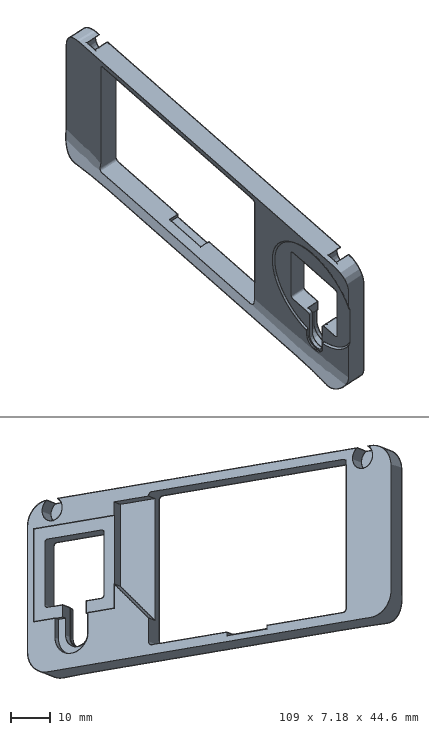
import cadquery as cq
import math


LENGTH = 109.0
HEIGHT = 44.6
CORNER_RADIUS = 6.0
PLATE_DEPTH = 5.0
FRONT_Y = -PLATE_DEPTH
HALF_LENGTH = LENGTH / 2
TOP_Z = HEIGHT / 2
BOTTOM_Z = -TOP_Z

FLARE_RADIUS = 11.0
TOP_FLARE_WIDTH = 3.1
BOTTOM_FLARE_WIDTH = 5.75
FLARE_REACH = 8.0
STRAIGHT_HALF_LENGTH = 36.0
BEND_RADIUS = 94.0
BEND_ANGLE = math.radians(7.15)
FLARE_END_RUN = 12.0

WINDOW_LEFT = -41.1
WINDOW_RIGHT = 18.2
WINDOW_TOP = 19.9
WINDOW_BOTTOM = -19.8
WINDOW_CORNER_RADIUS = 1.0

SILL_NOTCH_LENGTH = 12.0
SILL_NOTCH_CENTRE_X = -11.3
SILL_NOTCH_DEPTH = 2.7
SILL_NOTCH_DROP = 1.0

CAMERA_X = 40.6
CAMERA_Z = 3.4
CAMERA_SIZE = 17.7
CAMERA_CORNER_RADIUS = 0.8
CAMERA_WALL = 3.2
CAMERA_SEAT_DEPTH = 0.3
SLOT_X = 41.3
SLOT_WIDTH = 4.9
SLOT_BOTTOM = -16.0
SLOT_LIP = 1.0
BACK_SLOT_WIDTH = 7.0
BACK_SLOT_BOTTOM = -16.5
RECESS_RADIUS = 15.6
RECESS_DEPTH = 0.45
RECESS_SLOT_MARGIN = 0.6

BOARD_PLATE = 2.1
BOARD_POCKET_START_Z = -12.7
SLOT_PLATE = 3.4
SLOT_POCKET_MARGIN = 2.5

TOP_HOLE_CENTRES_X = (-46.0, 47.1)
TOP_HOLE_RADIUS = 3.0
TOP_HOLE_DEPTH = 4.1
TOP_HOLE_OPENING = 3.1

CAMERA_BOTTOM = CAMERA_Z - CAMERA_SIZE / 2
SLOT_LIP_BACK_Y = FRONT_Y + RECESS_DEPTH + SLOT_LIP


def front_plane(y):
    """Workplane at depth y whose local axes are X and Z and whose extrusions run towards -Y."""
    return cq.Workplane("XZ", origin=(0, y, 0))


def box(left, right, bottom, top, y_back, y_front):
    """Block given by its limits, y_back being the +Y limit."""
    centre = ((left + right) / 2, (bottom + top) / 2)
    return front_plane(y_back).center(*centre).rect(right - left, top - bottom).extrude(y_back - y_front)


def flare_section(x, tangent_z, outward):
    """Section of a concave flare at x: an arc tangent to the front face, closed along the back.

    outward is +1 when the flare runs up from its tangent line and -1 when it runs down.
    """

    def rise(distance):
        return FLARE_RADIUS - math.sqrt(FLARE_RADIUS**2 - distance**2)

    half_reach = FLARE_REACH / 2
    return (
        cq.Workplane("YZ", origin=(x, 0, tangent_z))
        .moveTo(FRONT_Y, 0)
        .threePointArc(
            (FRONT_Y - rise(half_reach), outward * half_reach),
            (FRONT_Y - rise(FLARE_REACH), outward * FLARE_REACH),
        )
        .lineTo(0, outward * FLARE_REACH)
        .lineTo(0, 0)
        .close()
    )


def bottom_flare_half():
    """Right half of the bottom flare, swept along a line, a rising bend and a sloping line."""
    tangent_z = BOTTOM_Z + BOTTOM_FLARE_WIDTH

    def bend_point(angle):
        return (
            STRAIGHT_HALF_LENGTH + BEND_RADIUS * math.sin(angle),
            tangent_z + BEND_RADIUS * (1 - math.cos(angle)),
        )

    bend_end = bend_point(BEND_ANGLE)
    path = (
        front_plane(FRONT_Y)
        .moveTo(0, tangent_z)
        .lineTo(STRAIGHT_HALF_LENGTH, tangent_z)
        .threePointArc(bend_point(BEND_ANGLE / 2), bend_end)
        .lineTo(
            bend_end[0] + FLARE_END_RUN * math.cos(BEND_ANGLE),
            bend_end[1] + FLARE_END_RUN * math.sin(BEND_ANGLE),
        )
    )
    return flare_section(0, tangent_z, -1).sweep(path)


def flared_plate():
    """Rounded plate with the flares along its top and bottom edges."""
    plate = front_plane(0).rect(LENGTH, HEIGHT).extrude(PLATE_DEPTH)
    top_flare = flare_section(-HALF_LENGTH, TOP_Z - TOP_FLARE_WIDTH, 1).extrude(LENGTH)
    right_flare = bottom_flare_half()
    left_flare = right_flare.mirror("YZ")
    outline = (
        front_plane(0)
        .rect(LENGTH, HEIGHT)
        .extrude(PLATE_DEPTH + FLARE_RADIUS)
        .edges("|Y")
        .fillet(CORNER_RADIUS)
    )
    return plate.union(top_flare).union(right_flare).union(left_flare).intersect(outline)


def screen_window():
    """Through cutter for the screen window."""
    cutter = box(WINDOW_LEFT, WINDOW_RIGHT, WINDOW_BOTTOM, WINDOW_TOP, 0, FRONT_Y - FLARE_RADIUS)
    return cutter.edges("|Y").fillet(WINDOW_CORNER_RADIUS)


def sill_notch():
    """Shallow notch in the back edge of the window sill."""
    half_length = SILL_NOTCH_LENGTH / 2
    return box(
        SILL_NOTCH_CENTRE_X - half_length,
        SILL_NOTCH_CENTRE_X + half_length,
        WINDOW_BOTTOM - SILL_NOTCH_DROP,
        WINDOW_BOTTOM + SILL_NOTCH_DROP,
        0,
        -SILL_NOTCH_DEPTH,
    )


def round_ended_slot(centre_x, width, bottom, top, y_back, y_front):
    """Upright slot with a round lower end and a flat top."""
    half_width = width / 2
    return (
        front_plane(y_back)
        .moveTo(centre_x - half_width, top)
        .lineTo(centre_x - half_width, bottom + half_width)
        .threePointArc((centre_x, bottom), (centre_x + half_width, bottom + half_width))
        .lineTo(centre_x + half_width, top)
        .close()
        .extrude(y_back - y_front)
    )


def slot_cutter(margin, top, y_back, y_front):
    """Camera slot widened all round by margin."""
    return round_ended_slot(
        SLOT_X, SLOT_WIDTH + 2 * margin, SLOT_BOTTOM - margin, top, y_back, y_front
    )


def camera_window():
    """Through cutter for the camera window with rounded corners."""
    half_size = CAMERA_SIZE / 2
    window = box(
        CAMERA_X - half_size,
        CAMERA_X + half_size,
        CAMERA_BOTTOM,
        CAMERA_Z + half_size,
        0,
        FRONT_Y - FLARE_RADIUS,
    )
    return window.edges("|Y").fillet(CAMERA_CORNER_RADIUS)


def camera_slot():
    """Through cutter for the slot below the camera window."""
    return slot_cutter(0, CAMERA_Z, 0, FRONT_Y - FLARE_RADIUS)


def slot_mouth():
    """Rounding of the two front corners where the slot runs into the camera window."""
    half_width = SLOT_WIDTH / 2
    radius = CAMERA_CORNER_RADIUS
    corners = box(
        SLOT_X - half_width - radius,
        SLOT_X + half_width + radius,
        CAMERA_BOTTOM - radius,
        CAMERA_BOTTOM,
        SLOT_LIP_BACK_Y,
        FRONT_Y,
    )
    centres = [(SLOT_X + side * (half_width + radius), CAMERA_BOTTOM - radius) for side in (-1, 1)]
    kept = (
        front_plane(SLOT_LIP_BACK_Y)
        .pushPoints(centres)
        .circle(radius)
        .extrude(SLOT_LIP_BACK_Y - FRONT_Y)
    )
    return corners.cut(kept)


def back_slot():
    """Wider slot behind the slot lip, centred on the camera window."""
    return round_ended_slot(
        CAMERA_X, BACK_SLOT_WIDTH, BACK_SLOT_BOTTOM, CAMERA_Z, 0, SLOT_LIP_BACK_Y
    )


def camera_seat():
    """Shallow square step in the back around the camera window."""
    half_size = CAMERA_SIZE / 2 + CAMERA_WALL
    return box(
        CAMERA_X - half_size,
        CAMERA_X + half_size,
        CAMERA_Z - half_size,
        CAMERA_Z + half_size,
        0,
        -CAMERA_SEAT_DEPTH,
    )


def camera_recess():
    """Shallow round recess with a 45 degree wall, carried down around the slot."""
    floor_y = FRONT_Y + RECESS_DEPTH
    dish = (
        front_plane(floor_y)
        .center(CAMERA_X, CAMERA_Z)
        .circle(RECESS_RADIUS - RECESS_DEPTH)
        .workplane(offset=RECESS_DEPTH)
        .circle(RECESS_RADIUS)
        .loft()
    )
    return dish.union(slot_cutter(RECESS_SLOT_MARGIN, CAMERA_Z, floor_y, FRONT_Y))


def board_pocket():
    """Back pocket between the screen and camera windows, closed below by a 45 degree edge."""
    right = CAMERA_X - CAMERA_SIZE / 2 - CAMERA_WALL
    return (
        front_plane(0)
        .moveTo(WINDOW_RIGHT, BOARD_POCKET_START_Z)
        .lineTo(right, BOARD_POCKET_START_Z + right - WINDOW_RIGHT)
        .lineTo(right, WINDOW_TOP - WINDOW_CORNER_RADIUS)
        .lineTo(WINDOW_RIGHT, WINDOW_TOP - WINDOW_CORNER_RADIUS)
        .close()
        .extrude(PLATE_DEPTH - BOARD_PLATE)
    )


def slot_pocket():
    """Back pocket that thins the plate around the slot below the camera window wall."""
    return slot_cutter(SLOT_POCKET_MARGIN, CAMERA_BOTTOM - CAMERA_WALL, 0, FRONT_Y + SLOT_PLATE)


def top_holes():
    """Blind holes from the back, placed so that they open through the top edge."""
    drop = math.sqrt(TOP_HOLE_RADIUS**2 - (TOP_HOLE_OPENING / 2) ** 2)
    centres = [(x, TOP_Z - drop) for x in TOP_HOLE_CENTRES_X]
    return front_plane(0).pushPoints(centres).circle(TOP_HOLE_RADIUS).extrude(TOP_HOLE_DEPTH)


result = flared_plate()
cutters = (
    screen_window,
    sill_notch,
    camera_window,
    camera_slot,
    slot_mouth,
    back_slot,
    camera_recess,
    camera_seat,
    board_pocket,
    slot_pocket,
    top_holes,
)
for make_cutter in cutters:
    result = result.cut(make_cutter())